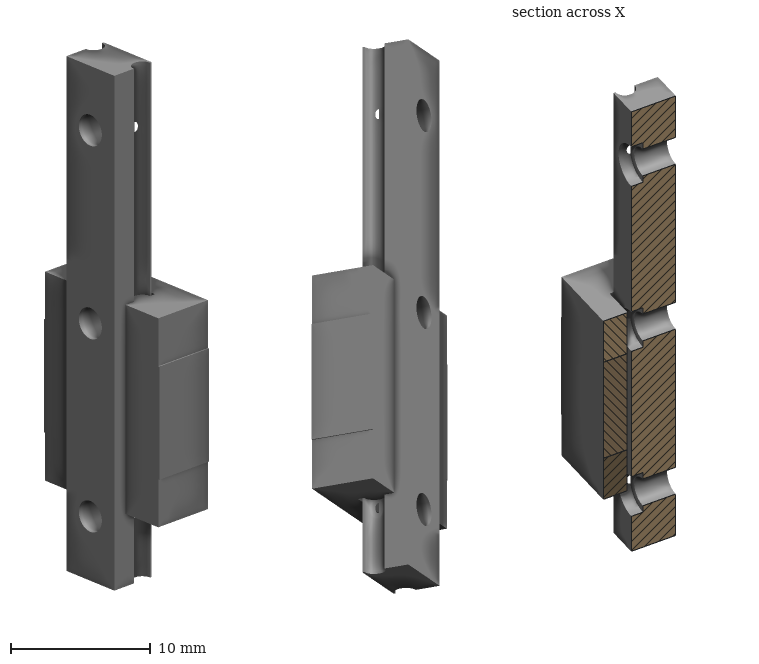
import cadquery as cq


rail_length = 40.0
rail_width = 5.0
rail_height = 3.7
groove_radius = 0.75
groove_flat = 0.1
groove_center_y = 2.7
hole_pitch = 15.0
hole_diameter = 2.4
counterbore_diameter = 3.55
counterbore_depth = 0.95

assembly_height = 6.0
carriage_bottom_y = 1.1
block_width = 12.0
block_length = 8.8
cap_width = 11.8
cap_length = 3.7
carriage_center_z = 13.75
rail_gap = 0.3


def rail_section(top_y):
    """Rail outline on the XY plane, with a round-cornered groove in each side, up to top_y."""
    half = rail_width / 2
    flat_low = groove_center_y - groove_flat / 2
    flat_high = groove_center_y + groove_flat / 2
    groove_low = flat_low - groove_radius
    groove_high = flat_high + groove_radius
    groove_bottom_x = half - groove_radius
    return (
        cq.Workplane("XY")
        .moveTo(-half, 0)
        .lineTo(half, 0)
        .lineTo(half, groove_low)
        .radiusArc((groove_bottom_x, flat_low), groove_radius)
        .lineTo(groove_bottom_x, flat_high)
        .radiusArc((half, groove_high), groove_radius)
        .lineTo(half, top_y)
        .lineTo(-half, top_y)
        .lineTo(-half, groove_high)
        .radiusArc((-groove_bottom_x, flat_high), groove_radius)
        .lineTo(-groove_bottom_x, flat_low)
        .radiusArc((-half, groove_low), groove_radius)
        .close()
    )


def make_rail():
    """Grooved rail with a row of screw holes counterbored from its top face."""
    rail = rail_section(rail_height).extrude(rail_length)
    for step in (-1, 0, 1):
        hole_z = rail_length / 2 + step * hole_pitch
        top_plane = cq.Plane(origin=(0, rail_height, hole_z), xDir=(1, 0, 0), normal=(0, -1, 0))
        hole = cq.Workplane(top_plane).circle(hole_diameter / 2).extrude(rail_height)
        counterbore = cq.Workplane(top_plane).circle(counterbore_diameter / 2).extrude(counterbore_depth)
        rail = rail.cut(hole).cut(counterbore)
    return rail


def make_carriage_piece(width, length, start_z):
    """Rectangular piece that rides on the rail, with a channel matching the rail's sides."""
    height = assembly_height - carriage_bottom_y
    piece = cq.Workplane("XY").box(width, height, length, centered=(True, False, False))
    channel = rail_section(rail_height + rail_gap).extrude(length)
    return piece.translate((0, carriage_bottom_y, 0)).cut(channel).translate((0, 0, start_z))


block_start_z = carriage_center_z - block_length / 2
block_end_z = carriage_center_z + block_length / 2

rail = make_rail()
block = make_carriage_piece(block_width, block_length, block_start_z)
end_caps = [
    make_carriage_piece(cap_width, cap_length, start_z)
    for start_z in (block_start_z - cap_length, block_end_z)
]

result = cq.Compound.makeCompound([rail.val(), block.val(), *[cap.val() for cap in end_caps]])